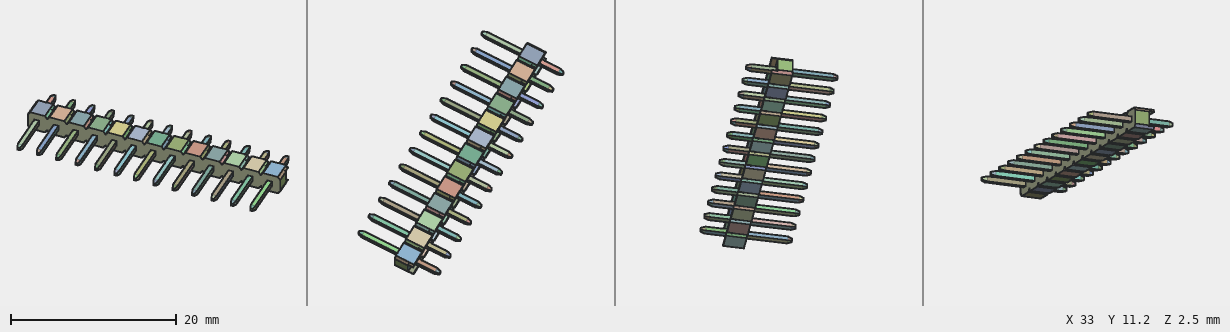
import cadquery as cq

PIN_COUNT = 13
HOUSING_LENGTH = 33.02
HOUSING_DEPTH = 2.55
HOUSING_HEIGHT = 2.5
PITCH = HOUSING_LENGTH / PIN_COUNT
CORNER_WIDTH = 0.3
CORNER_HEIGHT = 0.4

CHANNEL_DEPTH = 0.7
LIP_THICKNESS = 0.33

PIN_WIDTH = 0.63
PIN_TIP_WIDTH = 0.33
PIN_TAPER = 0.55
PIN_LENGTH = 11.2
PIN_FRONT_REACH = 5.68
PIN_SHIFT = -0.1


def cell_center(index):
    """X of the middle of a cell, counted from the -X end."""
    return (index - (PIN_COUNT - 1) / 2) * PITCH


def housing_profile():
    """Outline in X and Z: chamfered cells side by side, meeting in V notches."""
    top = HOUSING_HEIGHT / 2
    shoulder = top - CORNER_HEIGHT
    upper_edge = []
    for index in range(PIN_COUNT):
        left = cell_center(index) - PITCH / 2
        upper_edge += [
            (left, shoulder),
            (left + CORNER_WIDTH, top),
            (left + PITCH - CORNER_WIDTH, top),
        ]
    upper_edge.append((HOUSING_LENGTH / 2, shoulder))
    lower_edge = [(x, -z) for x, z in reversed(upper_edge)]
    return upper_edge + lower_edge


def make_housing():
    body = cq.Workplane("XZ").polyline(housing_profile()).close().extrude(-HOUSING_DEPTH)
    channel = cq.Workplane("XY").box(
        HOUSING_LENGTH,
        CHANNEL_DEPTH,
        HOUSING_HEIGHT - 2 * LIP_THICKNESS,
    ).translate((0, HOUSING_DEPTH - CHANNEL_DEPTH / 2, 0))
    return body.cut(channel)


def make_pin(x):
    """Square pin along Y, tapered to a smaller square at both ends."""
    front_tip = -PIN_FRONT_REACH
    shank_start = front_tip + PIN_TAPER
    shank_end = front_tip + PIN_LENGTH - PIN_TAPER

    pin = (
        cq.Workplane("XZ", origin=(x, shank_start, 0))
        .rect(PIN_WIDTH, PIN_WIDTH)
        .extrude(shank_start - shank_end)
    )
    for shank_face, outward in ((shank_start, 1), (shank_end, -1)):
        tip = (
            cq.Workplane("XZ", origin=(x, shank_face, 0))
            .rect(PIN_WIDTH, PIN_WIDTH)
            .workplane(offset=outward * PIN_TAPER)
            .rect(PIN_TIP_WIDTH, PIN_TIP_WIDTH)
            .loft()
        )
        pin = pin.union(tip)
    return pin


result = make_housing()
for cell in range(PIN_COUNT):
    result = result.union(make_pin(cell_center(cell) + PIN_SHIFT))